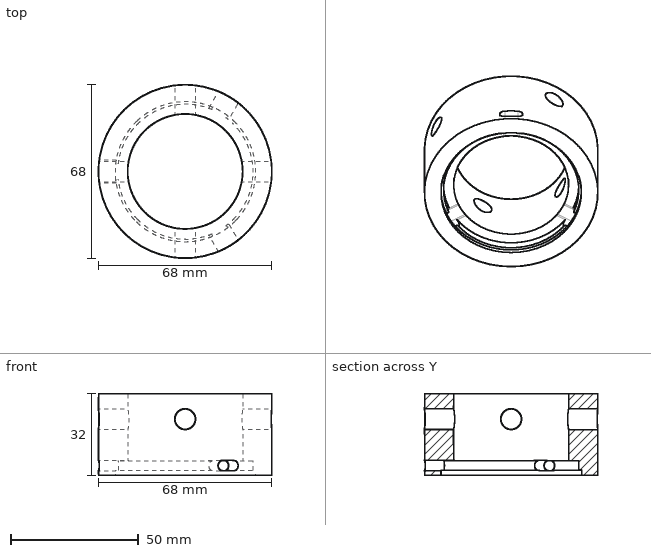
import cadquery as cq

ORIGIN = (0, 0, 0)
UP = (0, 0, 1)
FULL_TURN = 360.0

OUTER_DIAMETER = 68.0
BORE_DIAMETER = 45.0
HEIGHT = 32.0

RADIAL_HOLE_DIAMETER = 8.0
RADIAL_HOLE_COUNT = 4
RADIAL_HOLE_Z = 22.0

SLOT_WIDTH = 4.0
SLOT_LENGTH = 9.0
SLOT_COUNT = 3
SLOT_Z = 3.8
FIRST_SLOT_ANGLE = 60.0

MOUTH_DIAMETER = 55.0
MOUTH_DEPTH = 2.0
COUNTERBORE_DIAMETER = 53.0
COUNTERBORE_DEPTH = 5.7


def make_body():
    body = cq.Workplane("XY").circle(OUTER_DIAMETER / 2).circle(BORE_DIAMETER / 2).extrude(HEIGHT)
    counterbore = cq.Workplane("XY").circle(COUNTERBORE_DIAMETER / 2).extrude(COUNTERBORE_DEPTH)
    mouth = cq.Workplane("XY").circle(MOUTH_DIAMETER / 2).extrude(MOUTH_DEPTH)
    return body.cut(counterbore).cut(mouth)


def make_radial_hole(angle):
    """Cylinder from the ring axis out through the wall at the given angle."""
    hole = cq.Workplane("YZ").center(0, RADIAL_HOLE_Z).circle(RADIAL_HOLE_DIAMETER / 2)
    return hole.extrude(OUTER_DIAMETER).rotate(ORIGIN, UP, angle)


def make_slot(angle):
    """Round-ended slot from the ring axis out through the wall at the given angle."""
    slot = cq.Workplane("YZ").center(0, SLOT_Z).slot2D(SLOT_LENGTH, SLOT_WIDTH)
    return slot.extrude(OUTER_DIAMETER).rotate(ORIGIN, UP, angle)


result = make_body()
for index in range(RADIAL_HOLE_COUNT):
    result = result.cut(make_radial_hole(index * FULL_TURN / RADIAL_HOLE_COUNT))
for index in range(SLOT_COUNT):
    result = result.cut(make_slot(FIRST_SLOT_ANGLE + index * FULL_TURN / SLOT_COUNT))